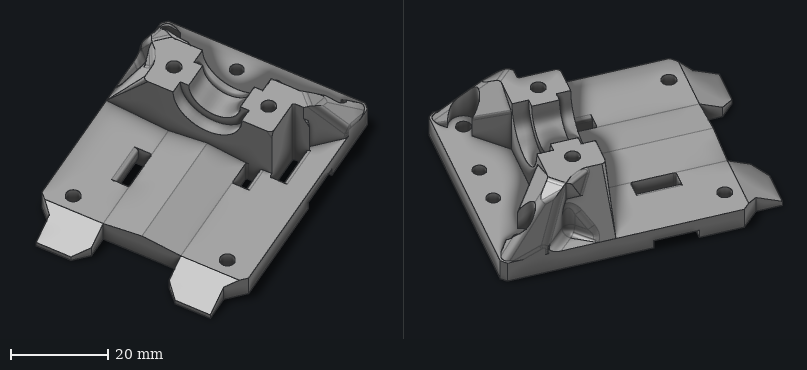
import cadquery as cq
import math

WIDTH = 48.25
LENGTH = 62.0
HEIGHT = 18.0
HALF = WIDTH / 2
PLATE_TOP = 5.0
PLATE_FRONT = 8.1
BACK_CHAMFER = 1.2

TONGUE_INNER = 9.05
TONGUE_OUTER = 20.35
TONGUE_TIP = 1.1
TONGUE_INNER_CHAMFER = 3.1
SHOULDER_Y = 5.75
RIDGE_TOP = 6.2

BLOCK_FRONT = 36.35
BLOCK_BACK = 49.05
BLOCK_HALF = 15.1
BORE_RADIUS = 8.0
LIP_RADIUS = 6.0
LIP_FRONT = 39.45
LIP_BACK = 45.45

APEX_X = 18.25
APEX_Y = 46.15
ROUNDING = 2.0
EDGE_FILLET = 1.0

GUSSET_POINT = (-15.75, 41.1, HEIGHT)
GUSSET_NORMAL = (-0.86, -0.51, 0.26)
GUSSET_FILLET = 1.25

RIDGE_ALONG = 46.0
RIDGE_OVERLAP = 6.2
RIDGE_FALL = 0.615
RIDGE_FLAT = 4.05
RIDGE_CHAMFER = 5.0
FLANK_X = 19.6
FLANK_RISE = 1.6
SIDE_FILLET = 1.5

HOLE_DIAMETER = 3.2
SMALL_HOLE_DIAMETER = 3.0
CORNER_HOLE_X = 18.0
FRONT_HOLE_Y = 11.7
BACK_HOLE_Y = 56.2
SMALL_HOLE_X = 4.45
SMALL_HOLE_Y = 57.3
BLOCK_HOLE_X = 11.05
BLOCK_HOLE_Y = 42.35
BOSS_CLEARANCE_RADIUS = 3.3

SLOT_WIDTH = 4.1
SLOT_CORNER = 0.5
SLOT_LEAD_IN = 1.0
CHANNEL_HEIGHT = 2.0
LEFT_SLOT_Y = (19.3, 29.15)
RIGHT_SLOT_Y = (35.35, 45.45)
MIDDLE_SLOT_Y = (30.3, BLOCK_FRONT)

BIG = 37.2
ROOT2 = math.sqrt(2)
ACROSS_APEX = (APEX_Y - APEX_X) / ROOT2
ALONG_APEX = (APEX_Y + APEX_X) / ROOT2


def mirrored(body):
    return body.mirror("YZ")


def box(x0, x1, y0, y1, z0, z1):
    return cq.Workplane("XY").box(x1 - x0, y1 - y0, z1 - z0, centered=False).translate((x0, y0, z0))


def diagonal_box(across0, across1, along0, along1, z0, z1):
    """Box turned 45 degrees: 'across' runs along (1, 1), 'along' runs along (-1, 1)."""
    return box(across0, across1, along0, along1, z0, z1).rotate((0, 0, 0), (0, 0, 1), 45)


def near(*points):
    """Selector for the edges nearest to the given points."""
    chosen = cq.NearestToPointSelector(points[0])
    for point in points[1:]:
        chosen = chosen + cq.NearestToPointSelector(point)
    return chosen


def make_plate():
    """Flat plate with two tapered front tongues and a shallow central ridge."""
    half_outline = [
        (0, PLATE_FRONT),
        (TONGUE_INNER, PLATE_FRONT),
        (TONGUE_INNER, TONGUE_INNER_CHAMFER),
        (TONGUE_INNER + TONGUE_INNER_CHAMFER, 0),
        (TONGUE_OUTER, 0),
        (TONGUE_OUTER, SHOULDER_Y),
        (HALF, SHOULDER_Y + HALF - TONGUE_OUTER),
        (HALF, LENGTH - BACK_CHAMFER),
        (HALF - BACK_CHAMFER, LENGTH),
        (0, LENGTH),
    ]
    half_plate = cq.Workplane("XY").polyline(half_outline).close().extrude(PLATE_TOP)
    side_profile = [(0, 0), (0, TONGUE_TIP), (PLATE_FRONT, PLATE_TOP), (LENGTH, PLATE_TOP), (LENGTH, 0)]
    tapered = cq.Workplane("YZ").polyline(side_profile).close().extrude(HALF)
    half_plate = half_plate.intersect(tapered)
    ridge = (
        cq.Workplane("XZ", origin=(0, PLATE_FRONT, 0))
        .polyline([(-TONGUE_INNER, PLATE_TOP), (0, RIDGE_TOP), (TONGUE_INNER, PLATE_TOP)])
        .close()
        .extrude(PLATE_FRONT - BLOCK_FRONT)
    )
    return half_plate.union(mirrored(half_plate)).union(ridge)


def notch_tool():
    """Corner space between the two 45 degree walls, rounded where its faces meet."""
    tool = box(ACROSS_APEX - BIG, ACROSS_APEX, ALONG_APEX, ALONG_APEX + BIG, PLATE_TOP, BIG)
    tool = tool.edges("|Z and >X and <Y").fillet(ROUNDING)
    tool = tool.edges("<Z").edges("not(<X or >Y)").fillet(ROUNDING)
    return tool.rotate((0, 0, 0), (0, 0, 1), 45)


def make_notch_floor_fillet():
    """Rounded foot of the buttress wall, where it meets the notch floor."""
    strip_top = PLATE_TOP + ROUNDING
    strip = diagonal_box(ACROSS_APEX - ROUNDING, ACROSS_APEX, ALONG_APEX, ALONG_APEX + BIG, 0, strip_top)
    return strip.cut(notch_tool())


def make_gusset():
    """Steep-faced filler between the block top and the -X side slope."""
    gusset = box(-APEX_X, -BLOCK_HALF, BLOCK_FRONT, BLOCK_BACK, PLATE_TOP, HEIGHT)
    level_direction = (GUSSET_NORMAL[1], -GUSSET_NORMAL[0], 0)
    face = cq.Plane(origin=GUSSET_POINT, xDir=level_direction, normal=GUSSET_NORMAL)
    gusset = gusset.cut(cq.Workplane(face).rect(BIG, BIG).extrude(BIG))
    return gusset.cut(diagonal_box(-BIG, BIG, ALONG_APEX, ALONG_APEX + BIG, 0, BIG))


def make_block():
    """Block with sloped sides, up to the notches, with rounded front and notch edges."""
    slope_run = (HALF - BLOCK_HALF) * HEIGHT / (HEIGHT - PLATE_TOP)
    foot = BLOCK_HALF + slope_run
    section = [(-foot, 0), (-BLOCK_HALF, HEIGHT), (BLOCK_HALF, HEIGHT), (foot, 0)]
    block = (
        cq.Workplane("XZ", origin=(0, BLOCK_FRONT, 0))
        .polyline(section)
        .close()
        .extrude(BLOCK_FRONT - BLOCK_BACK)
    )
    middle_x = (foot + BLOCK_HALF) / 2
    front_edges = near((-middle_x, BLOCK_FRONT, HEIGHT / 2), (middle_x, BLOCK_FRONT, HEIGHT / 2))
    block = block.edges(front_edges).fillet(EDGE_FILLET)
    block = block.intersect(box(-HALF, HALF, BLOCK_FRONT, BLOCK_BACK, PLATE_TOP - 0.6, HEIGHT))
    block = block.union(make_gusset()).cut(notch_tool()).cut(mirrored(notch_tool()))
    notch_edge = (-21.2, 43.2, 9.3)
    block = block.edges(near(notch_edge)).fillet(ROUNDING)
    gusset_top = (-16.7, 42.6, HEIGHT)
    block = block.edges(near(gusset_top)).fillet(GUSSET_FILLET)
    gusset_foot = (-17.0, 42.2, 15.15)
    return block.edges(near(gusset_foot)).fillet(EDGE_FILLET)


def make_buttress():
    """Chamfered ridge from the block to the back -X corner, trimmed by a sloped outer flank."""
    chamfer_across = ACROSS_APEX + RIDGE_FLAT
    wall_across = chamfer_across + RIDGE_CHAMFER
    section = [
        (ACROSS_APEX, 0),
        (chamfer_across, 0),
        (wall_across, -RIDGE_CHAMFER),
        (wall_across, -BIG),
        (ACROSS_APEX, -BIG),
    ]
    ridge_start = cq.Vector(-RIDGE_ALONG / ROOT2, RIDGE_ALONG / ROOT2, HEIGHT)
    ridge_plane = cq.Plane(origin=ridge_start, xDir=(1, 1, 0), normal=(1, -1, ROOT2 * RIDGE_FALL))
    body = cq.Workplane(ridge_plane).polyline(section).close().extrude(BIG, both=True)
    overlap_start = RIDGE_ALONG - RIDGE_OVERLAP
    body = body.intersect(diagonal_box(ACROSS_APEX, wall_across, overlap_start, LENGTH, 0, BIG))
    fall = RIDGE_FALL / ROOT2
    flank_y = RIDGE_ALONG * ROOT2 - FLANK_X
    flank = cq.Plane(
        origin=(-FLANK_X, flank_y, HEIGHT),
        xDir=(0, 1, -fall),
        normal=(-FLANK_RISE, fall, 1),
    )
    body = body.cut(cq.Workplane(flank).rect(4 * BIG, 4 * BIG).extrude(BIG))
    body = body.intersect(box(-HALF, 0, 0, LENGTH, 0, BIG))
    wall_edge = (-21.85, 49.75, 12.5)
    spine_edge = (-FLANK_X, 50.25, 15.9)
    chamfer_edge = (-17.7, 51.3, 16.3)
    corner_edge = (-21.1, 57.05, 9.9)
    rim_edge = (-13.65, 54.35, 10.85)
    side_edge = (-HALF, 56.45, 5.9)
    top_edge = (-17.2, 47.95, HEIGHT)
    body = body.edges(near(wall_edge, spine_edge, chamfer_edge, corner_edge)).fillet(ROUNDING)
    body = body.edges(near(rim_edge)).fillet(EDGE_FILLET)
    body = body.edges(near(side_edge)).fillet(SIDE_FILLET)
    body = body.intersect(box(-HALF, 0, 0, LENGTH, 0, HEIGHT))
    return body.edges(near(top_edge)).fillet(ROUNDING)


def strap_slot(inner_x, y_range, channel_end=None):
    """Slot on +X with a rounded top lip on its outer side and an optional channel below towards +X."""
    y0, y1 = y_range
    outer_x = inner_x + SLOT_WIDTH
    slot = box(inner_x, outer_x - SLOT_LEAD_IN, y0, y1, 0, PLATE_TOP)
    slot = slot.edges("|Z and <X").fillet(SLOT_CORNER)
    lip = (
        cq.Workplane("XZ", origin=(0, y0, 0))
        .moveTo(outer_x - SLOT_LEAD_IN, PLATE_TOP - SLOT_LEAD_IN)
        .radiusArc((outer_x, PLATE_TOP), SLOT_LEAD_IN)
        .lineTo(outer_x - SLOT_LEAD_IN, PLATE_TOP)
        .close()
        .extrude(y0 - y1)
    )
    slot = slot.union(lip)
    if channel_end is not None:
        slot = slot.union(box(inner_x + SLOT_CORNER, channel_end, y0, y1, 0, CHANNEL_HEIGHT))
    return slot


def bore(radius, y0, y1):
    return cq.Workplane("XZ", origin=(0, y0, HEIGHT)).circle(radius).extrude(y0 - y1)


def holes(points, diameter):
    return cq.Workplane("XY").pushPoints(points).circle(diameter / 2).extrude(HEIGHT)


def make_raised_corner():
    """Buttress with its notch foot, cleared around the corner hole and trimmed to the plate outline."""
    clearance = (
        cq.Workplane("XY", origin=(-CORNER_HOLE_X, BACK_HOLE_Y, PLATE_TOP))
        .circle(BOSS_CLEARANCE_RADIUS)
        .extrude(HEIGHT)
    )
    outline = box(-HALF, HALF, 0, LENGTH, 0, HEIGHT).edges("|Z and >Y").chamfer(BACK_CHAMFER)
    return make_buttress().union(make_notch_floor_fillet()).cut(clearance).intersect(outline)


def make_right_clearance():
    """Space beside the block on +X, above the strap slot."""
    slot_back = RIGHT_SLOT_Y[1]
    clearance = box(BLOCK_HALF, HALF, PLATE_FRONT, slot_back, PLATE_TOP, HEIGHT)
    clearance = clearance.edges("|Z and <X and >Y").fillet(SLOT_CORNER)
    notch = diagonal_box(ACROSS_APEX - BIG, ACROSS_APEX, ALONG_APEX, ALONG_APEX + BIG, PLATE_TOP, HEIGHT)
    return clearance.union(mirrored(notch))


corner = make_raised_corner()
result = make_plate().union(corner).union(mirrored(corner)).union(make_block())
result = result.cut(make_right_clearance())
result = result.cut(bore(LIP_RADIUS, BLOCK_FRONT, BLOCK_BACK))
result = result.cut(bore(BORE_RADIUS, BLOCK_FRONT, LIP_FRONT))
result = result.cut(bore(BORE_RADIUS, LIP_BACK, LENGTH))
result = result.cut(strap_slot(TONGUE_INNER, MIDDLE_SLOT_Y))
result = result.cut(strap_slot(BLOCK_HALF, RIGHT_SLOT_Y, HALF))
result = result.cut(mirrored(strap_slot(TONGUE_INNER, LEFT_SLOT_Y, HALF)))
for side in (-1, 1):
    main_holes = [
        (side * CORNER_HOLE_X, FRONT_HOLE_Y),
        (side * CORNER_HOLE_X, BACK_HOLE_Y),
        (side * BLOCK_HOLE_X, BLOCK_HOLE_Y),
    ]
    result = result.cut(holes(main_holes, HOLE_DIAMETER))
    result = result.cut(holes([(side * SMALL_HOLE_X, SMALL_HOLE_Y)], SMALL_HOLE_DIAMETER))